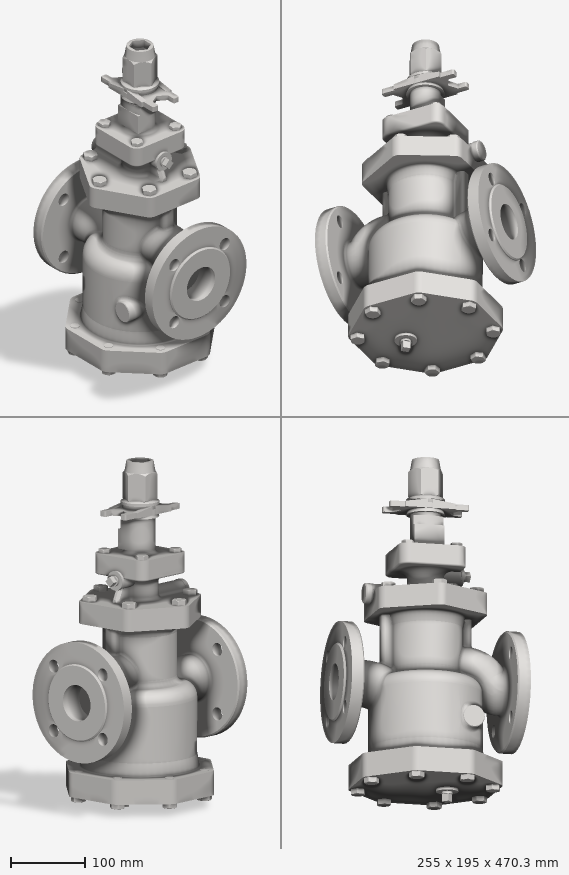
import cadquery as cq
import math

BOTTOM_FLANGE_Z = 17.5
BOTTOM_FLANGE_TOP = 50.8
BODY_TOP = 146.5
NECK_FLARE_Z = 237.0
TOP_FLANGE_Z = 251.5
TOP_FLANGE_TOP = 281.5
PILOT_FLANGE_Z = 315.5
PILOT_FLANGE_TOP = 344.0
STEM_BASE_TOP = 349.0
PLATE_Z = 398.5
PLATE_TOP = 406.0
COLLAR_Z = 411.2
NUT_Z = 415.0
COLLAR_TOP = 418.0
NUT_TOP = 455.5
OVERALL_HEIGHT = 470.0

BOTTOM_FLANGE_WIDTH = 195.0
BOTTOM_FLANGE_CORNER = 14.0
BODY_RADIUS = 77.0
BODY_FOOT_RADIUS = 80.0
BODY_FOOT_HEIGHT = 19.0
NECK_RADIUS = 100.0 / 2
NECK_BASE_Z = 176.5
SHOULDER_Z = 167.0
NECK_FLARE_RADIUS = 52.5
CAST_FILLET = 2.5
JUNCTION_FILLET = 3.8

TOP_FLANGE_WIDTH = 151.5
TOP_FLANGE_CORNER = 12.5
PILOT_FLANGE_WIDTH = 92.5
PILOT_FLANGE_CORNER = 13.0
PILOT_FLANGE_EDGE = 2.5
PILOT_NECK_RADIUS = 50.0 / 2
PILOT_NECK_TOP_FILLET = 11.5
PILOT_NECK_BASE_FILLET = 5.5

BOTTOM_BOLT_CIRCLE = 91.5
BOTTOM_BOLT_HEIGHT = 7.0
BOTTOM_BOLT_END = 12.0
BOTTOM_BOLT_END_HEIGHT = 1.0
TOP_BOLT_CIRCLE = 71.0
TOP_BOLT_HEIGHT = 7.0
BOLT_FLATS = 18.0
PILOT_BOLT_OFFSET = 34.0
PILOT_BOLT_HEIGHT = 5.0
PILOT_BOLT_FLATS = 15.0

CONNECTION_Z = 156.0
FACE_X = 255.0 / 2
FLANGE_FACE_X = 124.5
FLANGE_BACK_X = 106.5
FLANGE_DIAMETER = 165.0
FLANGE_EDGE = 2.0
RAISED_FACE_DIAMETER = 102.0
RAISED_FACE_EDGE = 2.0
FLANGE_BOLT_CIRCLE = 125.0
FLANGE_HOLE = 18.0
PIPE_RADIUS = 64.0 / 2
PIPE_BORE = 50.0
BORE_DEPTH = 33.0
HUB_FILLET = 3.5
INLET_BEND_X = -89.0
INLET_BEND_RADIUS = 56.5
INLET_BEND_ANGLE = 60.0
OUTLET_BEND_X = 54.5
OUTLET_BEND_END_X = 101.5
OUTLET_TOP_Z = 182.5
OUTLET_BEND_RADIUS = 33.0

COLUMN_REACH = 63.0
COLUMN_WIDTH = 19.0
COLUMN_EDGE = 5.5

BOSS_X = 48.5
BOSS_Z = 104.0
BOSS_REACH = 71.5
BOSS_DIAMETER = 30.0
BOSS_EDGE = 1.0
BOSS_FILLET = 4.5
SENSE_PORT_Z = 281.0
SENSE_PORT_DIAMETER = 27.0
SENSE_PORT_X = -78.0
SENSE_CAP_X = -86.0
SENSE_CAP_DIAMETER = 28.0
SENSE_CAP_EDGE = 1.5
PLUG_PORT_Z = 312.0
PLUG_PORT_X = 47.0
PLUG_PORT_DIAMETER = 25.0
PLUG_RIM_DIAMETER = 27.0
PLUG_RIM_HEIGHT = 3.8
PLUG_HEAD_HEIGHT = 7.5
PORT_RIB_WIDTH = 11.5
PORT_RIB_EDGE = 3.8
PORT_RIB_FOOT_X = 51.5
PORT_RIB_FOOT_HEIGHT = 4.5
PORT_RIB_TOP_X = 40.0
DRAIN_X = 30.0
DRAIN_RIM_DIAMETER = 30.0
DRAIN_HEAD_HEIGHT = 10.5

PLUG_COLLAR_DIAMETER = 15.0
PLUG_COLLAR_HEIGHT = 3.5
PLUG_HEAD_WIDTH = 10.5
PLUG_HEAD_CORNER = 14.0

STEM_RADIUS = 42.0 / 2
STEM_FOOT_RADIUS = 52.0 / 2
STEM_FLAT_TOP = 389.0
STEM_BLOCK_TOP = 376.5
STEM_FLAT_REACH = 16.5
COLLAR_RADIUS = 52.0 / 2
COLLAR_WAIST_RADIUS = 49.0 / 2
LOWER_COLLAR_Z = 394.0
PLATE_LENGTH = 110.0
PLATE_WIDTH = 46.0
PLATE_SLOT_WIDTH = 27.0
PLATE_SLOT_X = 42.5
PLATE_SLOT_TIP_X = 34.5
PLATE_TIP_ROUND = 2.5
WEDGE_LENGTH = 35.0
WEDGE_GAP = 3.52
WEDGE_INNER_Y = 18.0
WEDGE_PEAK = 411.0
CAP_TOP_RADIUS = 36.5 / 2
SOCKET_FLATS = 26.5
SOCKET_DEPTH = 11.8


def round_middle(radius):
    """Distance from either leg of a square corner to the middle of its concave round."""
    return radius * (1 - math.sqrt(0.5))


def cylinder(diameter, z_from, z_to, x=0, y=0):
    return cq.Workplane("XY", origin=(x, y, z_from)).circle(diameter / 2).extrude(z_to - z_from)


def x_cylinder(diameter, x_from, x_to, z):
    return cq.Workplane("YZ", origin=(x_from, 0, z)).circle(diameter / 2).extrude(x_to - x_from)


def hexagon(flats, z_from, z_to):
    """Hexagonal prism with two corners on the X axis."""
    corners = flats / math.cos(math.pi / 6)
    return cq.Workplane("XY", origin=(0, 0, z_from)).polygon(6, corners).extrude(z_to - z_from)


def bolt_head(flats, height):
    """Hexagon head standing on z = 0 with a conical chamfer on its top."""
    corners = flats / math.cos(math.pi / 6)
    chamfer = (corners - flats) / 2
    envelope = cylinder(corners, 0, height).faces(">Z").chamfer(chamfer * math.tan(math.pi / 6), chamfer)
    return hexagon(flats, 0, height).intersect(envelope)


def square_plug(rim_diameter, rim_height, head_height):
    """Plug with a round rim, a tapered collar and a square head, pointing up from z = 0."""
    collar_top = rim_height + PLUG_COLLAR_HEIGHT
    collar = (
        cq.Workplane("XY", origin=(0, 0, rim_height))
        .circle(PLUG_HEAD_CORNER / 2)
        .workplane(offset=PLUG_COLLAR_HEIGHT)
        .circle(PLUG_COLLAR_DIAMETER / 2)
        .loft()
    )
    head = (
        cq.Workplane("XY", origin=(0, 0, collar_top))
        .rect(PLUG_HEAD_WIDTH, PLUG_HEAD_WIDTH)
        .extrude(head_height)
        .rotate((0, 0, 0), (0, 0, 1), 45)
        .intersect(cylinder(PLUG_HEAD_CORNER, collar_top, collar_top + head_height))
    )
    return cylinder(rim_diameter, 0, rim_height).union(collar).union(head)


def bottom_flange():
    corners = BOTTOM_FLANGE_WIDTH / math.cos(math.pi / 8)
    flange = (
        cq.Workplane("XY", origin=(0, 0, BOTTOM_FLANGE_Z))
        .transformed(rotate=(0, 0, 22.5))
        .polygon(8, corners)
        .extrude(BOTTOM_FLANGE_TOP - BOTTOM_FLANGE_Z)
        .edges("|Z")
        .fillet(BOTTOM_FLANGE_CORNER)
    )
    head = (
        bolt_head(BOLT_FLATS, BOTTOM_BOLT_HEIGHT)
        .rotate((0, 0, 0), (1, 0, 0), 180)
        .rotate((0, 0, 0), (0, 0, 1), 30)
        .translate((BOTTOM_BOLT_CIRCLE, 0, BOTTOM_FLANGE_Z))
    )
    end_top = BOTTOM_FLANGE_TOP + BOTTOM_BOLT_END_HEIGHT
    bolt = head.union(cylinder(BOTTOM_BOLT_END, BOTTOM_FLANGE_Z, end_top, x=BOTTOM_BOLT_CIRCLE))
    for index in range(8):
        flange = flange.union(bolt.rotate((0, 0, 0), (0, 0, 1), 22.5 + 45 * index))
    return flange


def body_shell():
    """Round body with a domed shoulder that blends into the neck through two tangent arcs."""
    rise_dome = SHOULDER_Z - BODY_TOP
    rise_blend = NECK_BASE_Z - SHOULDER_Z
    blend_angle = 2 * math.atan((BODY_RADIUS - NECK_RADIUS) / (rise_dome + rise_blend))
    dome = rise_dome / math.sin(blend_angle)
    blend = rise_blend / math.sin(blend_angle)
    corner = round_middle(CAST_FILLET)

    def dome_point(angle):
        return (BODY_RADIUS - dome * (1 - math.cos(angle)), BODY_TOP + dome * math.sin(angle))

    def blend_point(angle):
        return (NECK_RADIUS + blend * (1 - math.cos(angle)), NECK_BASE_Z - blend * math.sin(angle))

    return (
        cq.Workplane("XZ")
        .moveTo(0, BOTTOM_FLANGE_TOP)
        .lineTo(BODY_FOOT_RADIUS + CAST_FILLET, BOTTOM_FLANGE_TOP)
        .threePointArc(
            (BODY_FOOT_RADIUS + corner, BOTTOM_FLANGE_TOP + corner),
            (BODY_FOOT_RADIUS, BOTTOM_FLANGE_TOP + CAST_FILLET),
        )
        .lineTo(BODY_RADIUS, BOTTOM_FLANGE_TOP + BODY_FOOT_HEIGHT)
        .lineTo(BODY_RADIUS, BODY_TOP)
        .threePointArc(dome_point(blend_angle / 2), dome_point(blend_angle))
        .threePointArc(blend_point(blend_angle / 2), (NECK_RADIUS, NECK_BASE_Z))
        .lineTo(NECK_RADIUS, NECK_FLARE_Z)
        .lineTo(NECK_FLARE_RADIUS, TOP_FLANGE_Z - CAST_FILLET)
        .threePointArc(
            (NECK_FLARE_RADIUS + corner, TOP_FLANGE_Z - corner),
            (NECK_FLARE_RADIUS + CAST_FILLET, TOP_FLANGE_Z),
        )
        .lineTo(0, TOP_FLANGE_Z)
        .close()
        .revolve()
    )


def cast_body():
    """Body with its side columns, front boss and both pipes, all blended into each other."""
    pipe_bottom = CONNECTION_Z - PIPE_RADIUS
    column_x = COLUMN_REACH - COLUMN_EDGE
    column_foot = cq.selectors.BoxSelector(
        (-column_x, -COLUMN_WIDTH, BODY_TOP), (column_x, COLUMN_WIDTH, TOP_FLANGE_Z - CAST_FILLET / 2)
    )
    front_side = cq.selectors.BoxSelector(
        (0, -BODY_RADIUS, BOSS_Z - BOSS_DIAMETER), (BODY_RADIUS, 0, BOSS_Z + BOSS_DIAMETER)
    )
    inlet_side = cq.selectors.BoxSelector(
        (-FLANGE_BACK_X, -BODY_RADIUS, pipe_bottom - 4.5),
        (-NECK_RADIUS / 2, BODY_RADIUS, CONNECTION_Z + PIPE_RADIUS + 2.5),
    )
    outlet_side = cq.selectors.BoxSelector(
        (NECK_RADIUS / 2, -BODY_RADIUS, pipe_bottom - 4.5),
        (OUTLET_BEND_END_X, BODY_RADIUS, OUTLET_TOP_Z + PIPE_RADIUS + 4.5),
    )

    def blend(body, region, radius):
        return body.edges(region).edges("%BSPLINE").fillet(radius)

    body = body_shell().union(neck_columns()).edges(column_foot).fillet(JUNCTION_FILLET)
    body = blend(body.union(inlet_pipe()), inlet_side, JUNCTION_FILLET)
    body = blend(body.union(outlet_pipe()), outlet_side, JUNCTION_FILLET)
    return blend(body.union(front_boss()), front_side, BOSS_FILLET)


def neck_columns():
    height = TOP_FLANGE_Z - CONNECTION_Z
    return (
        cq.Workplane("XY", origin=(0, 0, CONNECTION_Z))
        .rect(2 * COLUMN_REACH, COLUMN_WIDTH)
        .extrude(height)
        .edges("|Z")
        .fillet(COLUMN_EDGE)
    )


def front_boss():
    return (
        cq.Workplane("XZ", origin=(BOSS_X, 0, BOSS_Z))
        .circle(BOSS_DIAMETER / 2)
        .extrude(BOSS_REACH)
        .faces("<Y")
        .chamfer(BOSS_EDGE)
    )


def pipe_flange():
    """Flange on the +X side with its hub and raised face; the bore is cut later."""
    raised_face = (
        x_cylinder(RAISED_FACE_DIAMETER + 2 * RAISED_FACE_EDGE, FLANGE_FACE_X, FACE_X, CONNECTION_Z)
        .faces(">X")
        .chamfer(RAISED_FACE_EDGE)
    )
    flange = (
        x_cylinder(FLANGE_DIAMETER, FLANGE_BACK_X, FLANGE_FACE_X, CONNECTION_Z)
        .faces("<X")
        .chamfer(FLANGE_EDGE)
        .union(raised_face)
        .union(x_cylinder(2 * PIPE_RADIUS, OUTLET_BEND_END_X, FLANGE_BACK_X, CONNECTION_Z))
        .edges(cq.selectors.RadiusNthSelector(0))
        .edges(cq.selectors.NearestToPointSelector((FLANGE_BACK_X, 0, CONNECTION_Z + PIPE_RADIUS)))
        .fillet(HUB_FILLET)
    )
    holes = (
        cq.Workplane("YZ", origin=(FLANGE_BACK_X, 0, CONNECTION_Z))
        .polarArray(FLANGE_BOLT_CIRCLE / 2, 45, 360, 4)
        .circle(FLANGE_HOLE / 2)
        .extrude(FACE_X - FLANGE_BACK_X)
    )
    return flange.cut(holes)


def inlet_pipe():
    straight = x_cylinder(2 * PIPE_RADIUS, -FLANGE_BACK_X, INLET_BEND_X, CONNECTION_Z)
    bend = (
        cq.Workplane("YZ", origin=(INLET_BEND_X, 0, CONNECTION_Z))
        .circle(PIPE_RADIUS)
        .revolve(INLET_BEND_ANGLE, (0, -INLET_BEND_RADIUS, 0), (1, -INLET_BEND_RADIUS, 0))
    )
    return straight.union(bend)


def outlet_pipe():
    """Offset pipe: an upper bend leaves the neck and a tighter bend levels out at the flange."""
    drop = OUTLET_TOP_Z - CONNECTION_Z
    run = OUTLET_BEND_END_X - OUTLET_BEND_X
    angle = 2 * math.atan(drop / run)
    lower_radius = run / math.sin(angle) - OUTLET_BEND_RADIUS
    half_height = math.sqrt(PIPE_RADIUS**2 - lower_radius**2)

    straight = x_cylinder(2 * PIPE_RADIUS, 0, OUTLET_BEND_X, OUTLET_TOP_Z)
    upper = (
        cq.Workplane("YZ", origin=(OUTLET_BEND_X, 0, OUTLET_TOP_Z))
        .circle(PIPE_RADIUS)
        .revolve(math.degrees(angle), (0, -OUTLET_BEND_RADIUS, 0), (1, -OUTLET_BEND_RADIUS, 0))
    )
    lower = (
        cq.Workplane("YZ", origin=(OUTLET_BEND_END_X, 0, CONNECTION_Z))
        .moveTo(-half_height, lower_radius)
        .threePointArc((0, -PIPE_RADIUS), (half_height, lower_radius))
        .close()
        .revolve(math.degrees(angle), (0, lower_radius, 0), (1, lower_radius, 0))
    )
    return straight.union(upper).union(lower)


def top_flange():
    corners = TOP_FLANGE_WIDTH / math.cos(math.pi / 6)
    return (
        cq.Workplane("XY", origin=(0, 0, TOP_FLANGE_Z))
        .transformed(rotate=(0, 0, 30))
        .polygon(6, corners)
        .extrude(TOP_FLANGE_TOP - TOP_FLANGE_Z)
        .edges("|Z")
        .fillet(TOP_FLANGE_CORNER)
    )


def pilot_neck():
    return cylinder(2 * PILOT_NECK_RADIUS, TOP_FLANGE_Z, PILOT_FLANGE_Z)


def pilot_flange():
    """Square flange flaring into the pilot neck below it."""
    reach = PILOT_NECK_RADIUS + 4.5
    flare_edge = cq.selectors.BoxSelector(
        (-reach, -reach, PILOT_FLANGE_Z - 0.5), (reach, reach, PILOT_FLANGE_Z + 0.5)
    )
    return (
        cq.Workplane("XY", origin=(0, 0, PILOT_FLANGE_Z))
        .rect(PILOT_FLANGE_WIDTH, PILOT_FLANGE_WIDTH)
        .extrude(PILOT_FLANGE_TOP - PILOT_FLANGE_Z)
        .edges("|Z")
        .fillet(PILOT_FLANGE_CORNER)
        .faces("<Z")
        .edges()
        .fillet(PILOT_FLANGE_EDGE)
        .union(pilot_neck())
        .edges(flare_edge)
        .fillet(PILOT_NECK_TOP_FILLET)
    )


def port_rib():
    """Rib with a sloping, chamfered edge that carries the plugged port."""
    slope_middle = (
        (PORT_RIB_FOOT_X + PORT_RIB_TOP_X) / 2,
        0,
        (TOP_FLANGE_TOP + PORT_RIB_FOOT_HEIGHT + PLUG_PORT_Z) / 2,
    )
    return (
        cq.Workplane("XZ")
        .moveTo(0, TOP_FLANGE_TOP)
        .lineTo(PORT_RIB_FOOT_X, TOP_FLANGE_TOP)
        .lineTo(PORT_RIB_FOOT_X, TOP_FLANGE_TOP + PORT_RIB_FOOT_HEIGHT)
        .lineTo(PORT_RIB_TOP_X, PLUG_PORT_Z)
        .lineTo(0, PLUG_PORT_Z)
        .close()
        .extrude(PORT_RIB_WIDTH / 2, both=True)
        .faces(cq.selectors.NearestToPointSelector(slope_middle))
        .edges("not |Y")
        .chamfer(PORT_RIB_EDGE)
    )


def upper_casting():
    """Top flange, pilot neck and pilot flange, with the sensing port half sunk into the top flange."""
    reach = PILOT_NECK_RADIUS + 4.5
    port = x_cylinder(SENSE_PORT_DIAMETER, SENSE_PORT_X, 0, SENSE_PORT_Z)
    foot_edges = cq.selectors.BoxSelector(
        (4.5 - TOP_FLANGE_WIDTH / 2, -reach, TOP_FLANGE_TOP - 4.5), (PORT_RIB_TOP_X, reach, PILOT_FLANGE_Z - 4.5)
    )
    cap = (
        x_cylinder(SENSE_CAP_DIAMETER, SENSE_CAP_X, SENSE_PORT_X, SENSE_PORT_Z)
        .faces("<X")
        .chamfer(SENSE_CAP_EDGE)
    )
    return (
        top_flange()
        .union(pilot_neck())
        .union(port)
        .union(port_rib())
        .edges(foot_edges)
        .fillet(PILOT_NECK_BASE_FILLET)
        .union(pilot_flange())
        .union(cap)
    )


def upper_bolts():
    """Bolt heads of the top flange and of the pilot flange."""
    top_bolt = bolt_head(BOLT_FLATS, TOP_BOLT_HEIGHT).translate((TOP_BOLT_CIRCLE, 0, TOP_FLANGE_TOP))
    pilot_bolt = bolt_head(PILOT_BOLT_FLATS, PILOT_BOLT_HEIGHT).translate(
        (-PILOT_BOLT_OFFSET, -PILOT_BOLT_OFFSET, PILOT_FLANGE_TOP)
    )
    top_row = [top_bolt.rotate((0, 0, 0), (0, 0, 1), 30 + 60 * index) for index in range(6)]
    pilot_row = [pilot_bolt.rotate((0, 0, 0), (0, 0, 1), 90 * index) for index in range(4)]
    return top_row + pilot_row


def plug_port():
    """Plugged port on the side of the pilot neck."""
    port = x_cylinder(PLUG_PORT_DIAMETER, 0, PLUG_PORT_X, PLUG_PORT_Z)
    plug = (
        square_plug(PLUG_RIM_DIAMETER, PLUG_RIM_HEIGHT, PLUG_HEAD_HEIGHT)
        .rotate((0, 0, 0), (0, 1, 0), 90)
        .translate((PLUG_PORT_X, 0, PLUG_PORT_Z))
    )
    return port.union(plug)


def drain_plug():
    return (
        square_plug(DRAIN_RIM_DIAMETER, PLUG_RIM_HEIGHT, DRAIN_HEAD_HEIGHT)
        .rotate((0, 0, 0), (1, 0, 0), 180)
        .translate((DRAIN_X, 0, BOTTOM_FLANGE_Z))
    )


def stem():
    flare = STEM_FOOT_RADIUS - STEM_RADIUS
    flare_middle = round_middle(flare)
    shaft = (
        cq.Workplane("XZ")
        .moveTo(0, PILOT_FLANGE_TOP)
        .lineTo(STEM_FOOT_RADIUS, PILOT_FLANGE_TOP)
        .threePointArc(
            (STEM_RADIUS + flare_middle, PILOT_FLANGE_TOP + flare_middle),
            (STEM_RADIUS, PILOT_FLANGE_TOP + flare),
        )
        .lineTo(STEM_RADIUS, LOWER_COLLAR_Z)
        .lineTo(COLLAR_RADIUS, LOWER_COLLAR_Z)
        .lineTo(COLLAR_WAIST_RADIUS, PLATE_Z)
        .lineTo(COLLAR_WAIST_RADIUS, COLLAR_Z)
        .lineTo(COLLAR_RADIUS, COLLAR_Z)
        .lineTo(COLLAR_RADIUS, NUT_Z)
        .lineTo(STEM_RADIUS, COLLAR_TOP)
        .lineTo(0, COLLAR_TOP)
        .close()
        .revolve()
    )
    block = (
        cq.Workplane("XY", origin=(0, 0, STEM_BASE_TOP))
        .moveTo(-STEM_RADIUS, 0)
        .lineTo(-STEM_RADIUS, -STEM_RADIUS)
        .lineTo(STEM_RADIUS, -STEM_RADIUS)
        .lineTo(STEM_RADIUS, 0)
        .close()
        .extrude(STEM_BLOCK_TOP - STEM_BASE_TOP)
    )
    bowed = (
        cq.Workplane("XY", origin=(0, 0, STEM_BLOCK_TOP))
        .moveTo(-STEM_RADIUS, 0)
        .lineTo(-STEM_RADIUS, -STEM_FLAT_REACH)
        .threePointArc((0, -STEM_RADIUS), (STEM_RADIUS, -STEM_FLAT_REACH))
        .lineTo(STEM_RADIUS, 0)
        .close()
        .extrude(STEM_FLAT_TOP - STEM_BLOCK_TOP)
    )
    return shaft.union(block).union(bowed)


def handle_plate():
    """Flat plate with a forked end on each side and four wedges rising towards its middle."""
    end_x = PLATE_LENGTH / 2
    plate = (
        cq.Workplane("XY", origin=(0, 0, PLATE_Z))
        .rect(PLATE_LENGTH, PLATE_WIDTH)
        .extrude(PLATE_TOP - PLATE_Z)
        .union(cylinder(2 * COLLAR_RADIUS, PLATE_Z, PLATE_TOP))
    )
    wedge = (
        cq.Workplane("XZ", origin=(0, -WEDGE_INNER_Y, 0))
        .polyline(
            [
                (WEDGE_GAP, PLATE_Z),
                (WEDGE_LENGTH, PLATE_Z),
                (WEDGE_LENGTH, PLATE_TOP),
                (WEDGE_GAP, WEDGE_PEAK),
            ]
        )
        .close()
        .extrude(COLLAR_RADIUS - WEDGE_INNER_Y)
    )
    half_slot = PLATE_SLOT_WIDTH / 2
    slot = (
        cq.Workplane("XY", origin=(0, 0, PLATE_Z))
        .polyline(
            [
                (end_x, -half_slot),
                (PLATE_SLOT_X, -half_slot),
                (PLATE_SLOT_TIP_X, 0),
                (PLATE_SLOT_X, half_slot),
                (end_x, half_slot),
            ]
        )
        .close()
        .extrude(PLATE_TOP - PLATE_Z)
    )
    plate = plate.cut(slot).cut(slot.mirror("YZ"))
    plate = plate.edges("|Z and (>X or <X)").fillet(PLATE_TIP_ROUND)
    for side in (wedge, wedge.mirror("YZ")):
        plate = plate.union(side).union(side.mirror("XZ"))
    return plate


def cap_nut():
    """Hexagon nut chamfered at both ends, with a tapered top holding a hexagon socket."""
    flats = 2 * STEM_RADIUS
    corner_radius = STEM_RADIUS / math.cos(math.pi / 6)
    chamfer = corner_radius - STEM_RADIUS
    envelope = cylinder(2 * corner_radius, NUT_Z, NUT_TOP).faces("<Z or >Z").chamfer(chamfer)
    taper = (
        cq.Workplane("XY", origin=(0, 0, NUT_TOP))
        .circle(STEM_RADIUS)
        .workplane(offset=OVERALL_HEIGHT - NUT_TOP)
        .circle(CAP_TOP_RADIUS)
        .loft()
    )
    socket = hexagon(SOCKET_FLATS, OVERALL_HEIGHT - SOCKET_DEPTH, OVERALL_HEIGHT)
    return hexagon(flats, NUT_Z, NUT_TOP).intersect(envelope).union(taper).cut(socket)


outlet_flange = pipe_flange()
inlet_flange = outlet_flange.mirror("YZ")
bore = x_cylinder(PIPE_BORE, FACE_X - BORE_DEPTH, FACE_X, CONNECTION_Z)

result = cast_body()
for feature in (
    outlet_flange,
    inlet_flange,
    bottom_flange(),
    upper_casting(),
    *upper_bolts(),
    plug_port(),
    drain_plug(),
    stem(),
    handle_plate(),
    cap_nut(),
):
    result = result.union(feature)
result = result.cut(bore).cut(bore.mirror("YZ"))